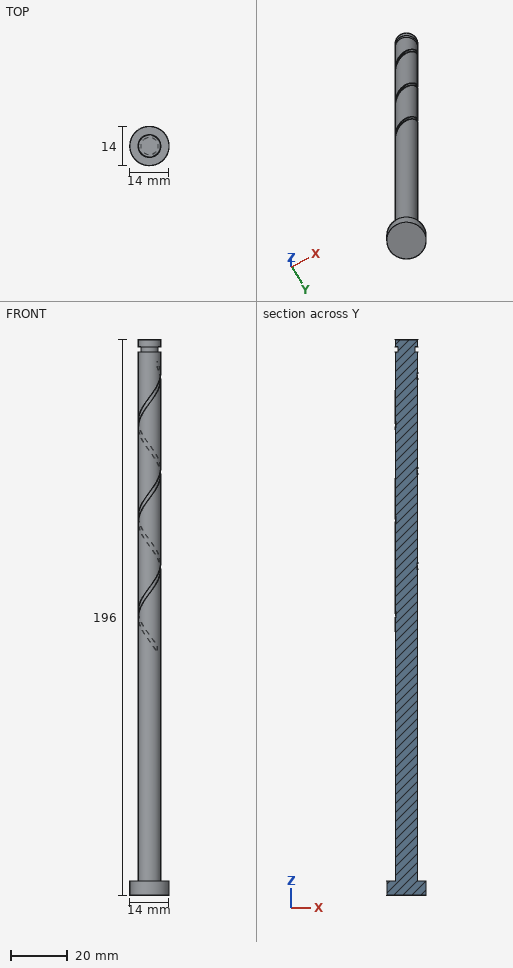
import cadquery as cq

total_length = 196.0
head_diameter = 14.0
head_height = 5.0
shaft_radius = 8.0 / 2

tip_land = 2.5
neck_height = 1.8
neck_depth = 1.0

groove_pitch = 33.5
groove_turns = 3
groove_height = 2.2
groove_depth = 0.2
groove_start_z = 86.6
groove_start_angle = 45.0
cutter_overlap = 0.5


def pin_body():
    """Revolve the half section of the head, shaft and neck about Z."""
    head_radius = head_diameter / 2
    neck_radius = shaft_radius - neck_depth
    neck_top = total_length - tip_land
    neck_bottom = neck_top - neck_height
    half_section = [
        (0, 0),
        (head_radius, 0),
        (head_radius, head_height),
        (shaft_radius, head_height),
        (shaft_radius, neck_bottom),
        (neck_radius, neck_bottom),
        (neck_radius, neck_top),
        (shaft_radius, neck_top),
        (shaft_radius, total_length),
        (0, total_length),
    ]
    return cq.Workplane("XZ").polyline(half_section).close().revolve(360, (0, 0), (0, 1))


def helical_cutter():
    """Sweep a rectangle that straddles the shaft surface along the helix."""
    helix = cq.Wire.makeHelix(groove_pitch, groove_pitch * groove_turns, shaft_radius)
    section_width = groove_depth + cutter_overlap
    section_center = shaft_radius - groove_depth + section_width / 2
    cutter = (
        cq.Workplane("XZ")
        .center(section_center, 0)
        .rect(section_width, groove_height)
        .sweep(cq.Workplane(obj=helix), isFrenet=True)
    )
    return cutter.rotate((0, 0, 0), (0, 0, 1), groove_start_angle).translate((0, 0, groove_start_z))


result = pin_body().cut(helical_cutter())